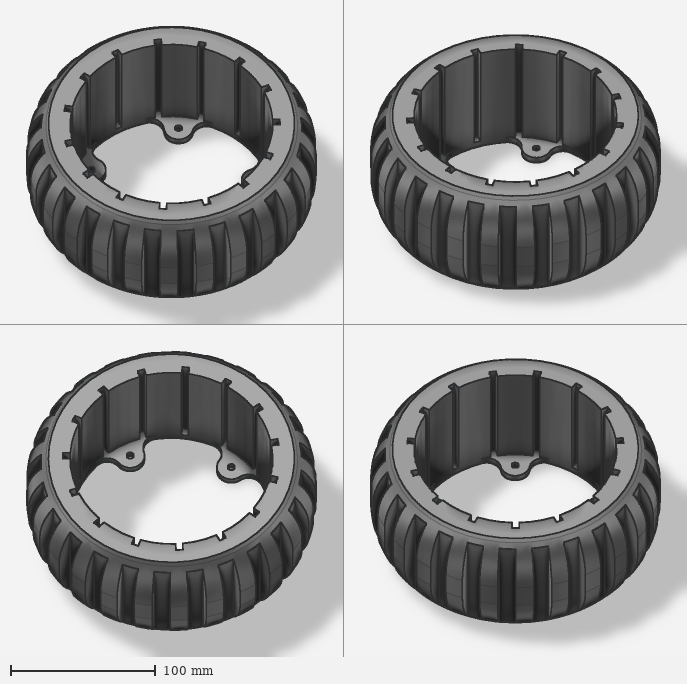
import cadquery as cq
import math

outer_radius = 100.0
height = 85.0
half_height = height / 2
flat_half_height = 8.8
rim_radius = 85.0
bevel_width = 2.0
bevel_height = 2.0
bore_radius = 70.0

tooth_count = 25
groove_floor_radius = 90.0
groove_height = 74.0
tooth_pitch = 360 / tooth_count
groove_angle = tooth_pitch / 2
cutter_radius = outer_radius + 10.0

keyway_count = 15
keyway_width = 4.8
keyway_radius = 75.0

tab_count = 5
tab_thickness = 4.8
tab_circle_radius = 60.0
tab_radius = 10.0
tab_fillet = 10.0
bolt_diameter = 5.0
tab_root_overlap = 2.0


def polar(radius, degrees, center=(0, 0)):
    """Point at a radius and angle about a centre."""
    angle = math.radians(degrees)
    return (center[0] + radius * math.cos(angle), center[1] + radius * math.sin(angle))


def mirrored(point):
    """Mirror a point across the X axis."""
    return (point[0], -point[1])


def make_body():
    """Revolve the crowned ring section about Z."""
    bevel_radius = rim_radius + bevel_width
    bevel_z = half_height - bevel_height
    drop = outer_radius - bevel_radius
    rise = bevel_z - flat_half_height
    crown_radius = (rise**2 + drop**2) / (2 * drop)
    half_sweep = math.asin(rise / crown_radius) / 2
    crown_mid_radius = outer_radius - crown_radius * (1 - math.cos(half_sweep))
    crown_mid_z = flat_half_height + crown_radius * math.sin(half_sweep)
    section = (
        cq.Workplane("XZ")
        .moveTo(bore_radius, -half_height)
        .lineTo(rim_radius, -half_height)
        .lineTo(bevel_radius, -bevel_z)
        .threePointArc((crown_mid_radius, -crown_mid_z), (outer_radius, -flat_half_height))
        .lineTo(outer_radius, flat_half_height)
        .threePointArc((crown_mid_radius, crown_mid_z), (bevel_radius, bevel_z))
        .lineTo(rim_radius, half_height)
        .lineTo(bore_radius, half_height)
        .close()
    )
    return section.revolve(360, (0, 0, 0), (0, 1, 0))


def make_grooves():
    """Radial-sided tread grooves; the first one starts on the +X axis."""
    groove = (
        cq.Workplane("XY", origin=(0, 0, -groove_height / 2))
        .moveTo(*polar(groove_floor_radius, 0))
        .lineTo(*polar(cutter_radius, 0))
        .threePointArc(polar(cutter_radius, groove_angle / 2), polar(cutter_radius, groove_angle))
        .lineTo(*polar(groove_floor_radius, groove_angle))
        .threePointArc(polar(groove_floor_radius, groove_angle / 2), polar(groove_floor_radius, 0))
        .close()
        .extrude(groove_height)
        .val()
    )
    axis_start = cq.Vector(0, 0, 0)
    axis_end = cq.Vector(0, 0, 1)
    grooves = cq.Workplane("XY")
    for index in range(tooth_count):
        grooves = grooves.add(groove.rotate(axis_start, axis_end, index * tooth_pitch))
    return grooves.combine()


def make_keyways():
    """Keyways open at the top and closed at the level of the tabs."""
    pitch = 360 / keyway_count
    keyway_length = height - tab_thickness
    keyway_depth = keyway_radius - bore_radius
    return (
        cq.Workplane("XY", origin=(0, 0, half_height - keyway_length))
        .polarArray(bore_radius, pitch / 2, 360, keyway_count)
        .rect(2 * keyway_depth, keyway_width)
        .extrude(keyway_length)
    )


def make_tab():
    """Round-ended tab on +X, blended into the bore by concave fillets."""
    center_radius = bore_radius - tab_fillet
    center_gap = tab_radius + tab_fillet
    cos_center = (center_radius**2 + tab_circle_radius**2 - center_gap**2) / (
        2 * center_radius * tab_circle_radius
    )
    root_angle = math.degrees(math.acos(cos_center))
    fillet_center = polar(center_radius, root_angle)
    blend_angle = math.degrees(math.atan2(-fillet_center[1], tab_circle_radius - fillet_center[0]))
    blend = polar(tab_fillet, blend_angle, fillet_center)
    fillet_mid = polar(tab_fillet, (blend_angle + root_angle) / 2, fillet_center)
    root = polar(bore_radius, root_angle)
    wall_radius = bore_radius + tab_root_overlap
    wall = polar(wall_radius, root_angle)
    return (
        cq.Workplane("XY", origin=(0, 0, -half_height))
        .moveTo(*mirrored(wall))
        .lineTo(*mirrored(root))
        .threePointArc(mirrored(fillet_mid), mirrored(blend))
        .threePointArc((tab_circle_radius - tab_radius, 0), blend)
        .threePointArc(fillet_mid, root)
        .lineTo(*wall)
        .threePointArc((wall_radius, 0), mirrored(wall))
        .close()
        .extrude(tab_thickness)
    )


def make_bolt_holes():
    return (
        cq.Workplane("XY", origin=(0, 0, -half_height))
        .polarArray(tab_circle_radius, 0, 360, tab_count)
        .circle(bolt_diameter / 2)
        .extrude(tab_thickness)
    )


result = make_body().cut(make_grooves()).cut(make_keyways())
tab = make_tab()
for tab_index in range(tab_count):
    result = result.union(tab.rotate((0, 0, 0), (0, 0, 1), tab_index * 360 / tab_count))
result = result.cut(make_bolt_holes())